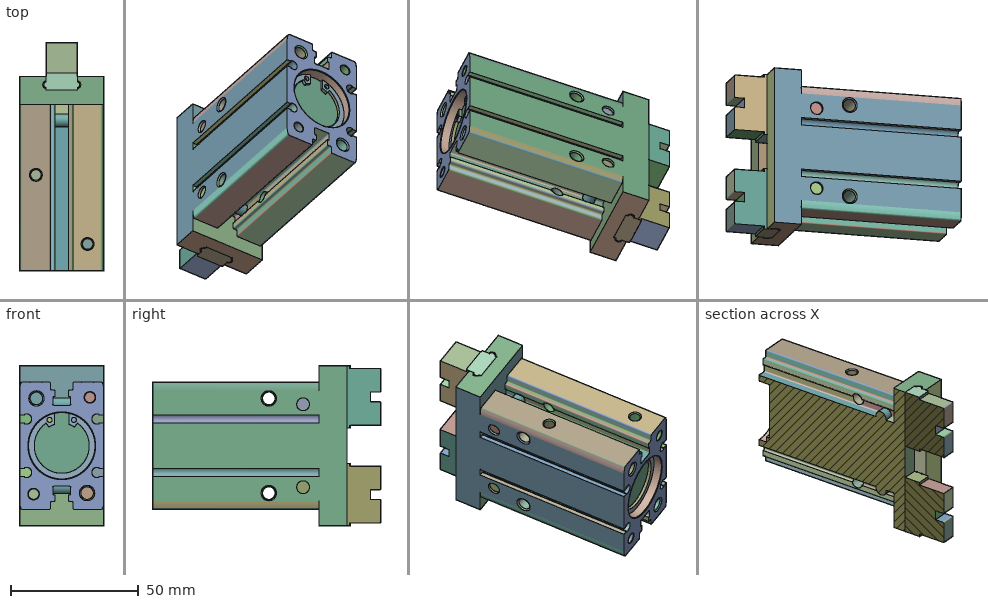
import cadquery as cq
import math

WIDTH = 33.0
FLANGE_HEIGHT = 62.6
BODY_HEIGHT = 49.8
BODY_LENGTH = 65.0
HOUSING_LENGTH = 76.0
TOTAL_LENGTH = 89.2
EDGE_RADIUS = 0.5
CORNER_RADIUS = 0.75
SIDE_CURVE_RADIUS = 8.0
SIDE_CURVE_HEIGHT = 3.25

MOUTH_WIDTH = 8.9
MOUTH_FLOOR_Z = 21.8
NECK_WIDTH = 5.2
HEAD_WIDTH = 6.9
HEAD_TOP_Z = 19.2
HEAD_FLOOR_Z = 15.8

GROOVE_Z = 10.45
GROOVE_MOUTH = 3.0
GROOVE_DIAMETER = 4.0
GROOVE_INSET = 2.75
GROOVE_LIP = 2.0

BORE_DIAMETER = 26.0
BORE_CHAMFER = 0.25
RING_DEPTH = 3.6
RING_THICKNESS = 1.25
RING_INNER_DIAMETER = 21.5
LUG_INNER_RADIUS = 8.85
LUG_ANGLE = 34.5
RING_GAP = 5.7
LUG_HOLE_DIAMETER = 2.0
LUG_HOLE_X = 4.75
LUG_HOLE_Z = 10.1

M6_CORE = 4.92
M6_COUNTERSINK = 6.0
M5_CORE = 4.13
M5_COUNTERSINK = 5.0
REAR_M6_PLACE = (-9.9, 18.5)
REAR_M6_DEPTH = 12.0
REAR_SMALL_CORE = 4.13
REAR_SMALL_COUNTERSINK = 4.5
REAR_SMALL_PLACE = (11.0, 18.9)
REAR_SMALL_DEPTH = 8.0
PORT_PLACES = [(-10.1, 37.5), (10.1, 10.5)]
PORT_DEPTH = 8.0
SIDE_HOLE_Y = 45.4
SIDE_HOLE_Z = 18.5
PIN_DIAMETER = 5.0
PIN_Y = 58.8
PIN_Z = 16.2
PIN_RECESS = 1.0

FINGER_WIDTH = 12.2
GUIDE_FLOOR_Y = 70.6
RACE_Y = 72.75
RACE_RADIUS = 1.5
RACE_INSET = 0.15
BEAD_RADIUS = 1.3
BEAD_INSET = 0.45
SLIDER_FRONT_Y = 77.4
SLIDER_HEIGHT = 24.4
SLIDER_CHAMFER = 0.4
FINGER_HEIGHT = 22.2
NOTCH_HEIGHT = 3.8
NOTCH_DEPTH = 4.0
FINGER_RADIUS = 0.4

HALF_WIDTH = WIDTH / 2
HALF_HEIGHT = BODY_HEIGHT / 2
SIGNS = (-1, 1)


def block(x_size, y_min, y_max, z_min, z_max):
    """Box centred on X = 0, given by its Y and Z limits."""
    box = cq.Workplane("XY").box(x_size, y_max - y_min, z_max - z_min, centered=(True, False, False))
    return box.translate((0, y_min, z_min))


def bar(axis, diameter, start, length):
    """Cylinder from a start point along an axis direction."""
    return cq.Workplane(cq.Solid.makeCylinder(diameter / 2, length, cq.Vector(*start), cq.Vector(*axis)))


def countersunk_hole(axis, core, countersink, start, depth):
    """Hole cutter with a 45 degree countersink at its start point."""
    cone_height = (countersink - core) / 2
    cone = cq.Solid.makeCone(countersink / 2, core / 2, cone_height, cq.Vector(*start), cq.Vector(*axis))
    return bar(axis, core, start, depth).union(cq.Workplane(cone))


def extruded_body():
    """Body cross-section with bulged upper and lower sides."""
    curve_z = HALF_HEIGHT - SIDE_CURVE_HEIGHT

    def curve_x(height):
        drop = SIDE_CURVE_RADIUS - math.sqrt(SIDE_CURVE_RADIUS**2 - height**2)
        return HALF_WIDTH - drop

    top_x = curve_x(SIDE_CURVE_HEIGHT)
    mid_height = SIDE_CURVE_HEIGHT / 2
    mid_x = curve_x(mid_height)
    mid_z = curve_z + mid_height
    outline = (
        cq.Workplane("XZ")
        .moveTo(HALF_WIDTH, -curve_z)
        .lineTo(HALF_WIDTH, curve_z)
        .threePointArc((mid_x, mid_z), (top_x, HALF_HEIGHT))
        .lineTo(-top_x, HALF_HEIGHT)
        .threePointArc((-mid_x, mid_z), (-HALF_WIDTH, curve_z))
        .lineTo(-HALF_WIDTH, -curve_z)
        .threePointArc((-mid_x, -mid_z), (-top_x, -HALF_HEIGHT))
        .lineTo(top_x, -HALF_HEIGHT)
        .threePointArc((mid_x, -mid_z), (HALF_WIDTH, -curve_z))
        .close()
    )
    body = outline.extrude(-BODY_LENGTH)
    return body.edges("|Y").edges(">Z or <Z").fillet(CORNER_RADIUS)


def t_slot():
    """Cutter for the upper T-slot."""
    mouth = block(MOUTH_WIDTH, 0, BODY_LENGTH, MOUTH_FLOOR_Z, HALF_HEIGHT)
    mouth = mouth.edges("|Y and <Z").fillet(EDGE_RADIUS)
    neck = block(NECK_WIDTH, 0, BODY_LENGTH, HEAD_FLOOR_Z + EDGE_RADIUS, HALF_HEIGHT)
    head = block(HEAD_WIDTH, 0, BODY_LENGTH, HEAD_FLOOR_Z, HEAD_TOP_Z)
    head = head.edges("|Y").fillet(EDGE_RADIUS)
    return mouth.union(neck).union(head)


def round_t_slot_edges(body):
    """Round the mouth edges and the lip edges of both T-slots."""
    for sign in SIGNS:
        for x, z in [(MOUTH_WIDTH / 2, HALF_HEIGHT), (NECK_WIDTH / 2, MOUTH_FLOOR_Z)]:
            for side in SIGNS:
                point = (side * x, BODY_LENGTH / 2, sign * z)
                body = body.edges(cq.NearestToPointSelector(point)).fillet(EDGE_RADIUS)
    return body


def sensor_groove():
    """Cutter for one keyhole-shaped groove on the +X side, above mid height."""
    centre_x = HALF_WIDTH - GROOVE_INSET
    channel = cq.Workplane("XY").box(GROOVE_INSET, BODY_LENGTH, GROOVE_MOUTH, centered=(False, False, True))
    channel = channel.translate((centre_x, 0, GROOVE_Z))
    keyway = bar((0, 1, 0), GROOVE_DIAMETER, (centre_x, 0, GROOVE_Z), BODY_LENGTH)
    lip_x = HALF_WIDTH - GROOVE_LIP
    keyway = keyway.intersect(block(2 * lip_x, 0, BODY_LENGTH, 0, HALF_HEIGHT))
    return channel.union(keyway)


def retaining_ring():
    """Internal ring with a gap at the top and a drilled lug on each side of it."""
    outer_radius = BORE_DIAMETER / 2
    start = (0, RING_DEPTH, 0)
    along = (0, 1, 0)
    ring = bar(along, BORE_DIAMETER, start, RING_THICKNESS)
    ring = ring.cut(bar(along, RING_INNER_DIAMETER, start, RING_THICKNESS))
    reach = outer_radius / math.cos(math.radians(LUG_ANGLE))
    half_span = reach * math.sin(math.radians(LUG_ANGLE))
    wedge = (
        cq.Workplane("XZ", origin=start)
        .polyline([(0, 0), (half_span, outer_radius), (-half_span, outer_radius)])
        .close()
        .extrude(-RING_THICKNESS)
    )
    lugs = wedge.intersect(bar(along, BORE_DIAMETER, start, RING_THICKNESS))
    lugs = lugs.cut(bar(along, 2 * LUG_INNER_RADIUS, start, RING_THICKNESS))
    ring = ring.union(lugs)
    ring = ring.cut(block(RING_GAP, RING_DEPTH, RING_DEPTH + RING_THICKNESS, 0, outer_radius))
    for side in SIGNS:
        hole_start = (side * LUG_HOLE_X, RING_DEPTH, LUG_HOLE_Z)
        ring = ring.cut(bar(along, LUG_HOLE_DIAMETER, hole_start, RING_THICKNESS))
    return ring


def finger_guide():
    """Cutter for the slideway: a channel with a round race in each wall beside each slider."""
    half_height = FLANGE_HEIGHT / 2
    guide = block(FINGER_WIDTH, GUIDE_FLOOR_Y, HOUSING_LENGTH, -half_height, half_height)
    for side in SIGNS:
        race_x = side * (FINGER_WIDTH / 2 - RACE_INSET)
        for sign in SIGNS:
            start = (race_x, RACE_Y, sign * half_height)
            guide = guide.union(bar((0, 0, -sign), 2 * RACE_RADIUS, start, SLIDER_HEIGHT))
    return guide


def build_housing():
    housing = extruded_body()
    upper_slot = t_slot()
    housing = housing.cut(upper_slot).cut(upper_slot.mirror("XY"))
    housing = round_t_slot_edges(housing)

    groove = sensor_groove()
    for right_groove in (groove, groove.mirror("XY")):
        housing = housing.cut(right_groove).cut(right_groove.mirror("YZ"))

    half_flange = FLANGE_HEIGHT / 2
    housing = housing.union(block(WIDTH, BODY_LENGTH, HOUSING_LENGTH, -half_flange, half_flange))
    housing = housing.cut(finger_guide())

    bore_mouth = BORE_DIAMETER + 2 * BORE_CHAMFER
    bore_depth = RING_DEPTH + RING_THICKNESS
    housing = housing.cut(countersunk_hole((0, 1, 0), BORE_DIAMETER, bore_mouth, (0, 0, 0), bore_depth))
    housing = housing.union(retaining_ring())

    for sign in SIGNS:
        x, z = REAR_M6_PLACE
        start = (sign * x, 0, sign * z)
        housing = housing.cut(countersunk_hole((0, 1, 0), M6_CORE, M6_COUNTERSINK, start, REAR_M6_DEPTH))
        x, z = REAR_SMALL_PLACE
        start = (sign * x, 0, sign * z)
        small_hole = countersunk_hole(
            (0, 1, 0), REAR_SMALL_CORE, REAR_SMALL_COUNTERSINK, start, REAR_SMALL_DEPTH
        )
        housing = housing.cut(small_hole)

    for x, y in PORT_PLACES:
        start = (x, y, HALF_HEIGHT)
        housing = housing.cut(countersunk_hole((0, 0, -1), M5_CORE, M5_COUNTERSINK, start, PORT_DEPTH))

    for sign in SIGNS:
        for side in SIGNS:
            start = (side * HALF_WIDTH, SIDE_HOLE_Y, sign * SIDE_HOLE_Z)
            axis = (-side, 0, 0)
            housing = housing.cut(countersunk_hole(axis, M6_CORE, M6_COUNTERSINK, start, HALF_WIDTH))
            start = (side * HALF_WIDTH, PIN_Y, sign * PIN_Z)
            housing = housing.cut(bar(axis, PIN_DIAMETER, start, PIN_RECESS))
        pin_start = (-HEAD_WIDTH / 2, PIN_Y, sign * PIN_Z)
        housing = housing.union(bar((1, 0, 0), PIN_DIAMETER, pin_start, HEAD_WIDTH))
    return housing


def build_finger(sign):
    """Upper finger for sign = 1, lower finger for sign = -1."""
    slider_top = FLANGE_HEIGHT / 2
    slider_bottom = slider_top - SLIDER_HEIGHT
    centre_z = slider_top - SLIDER_HEIGHT / 2
    slider = block(FINGER_WIDTH, GUIDE_FLOOR_Y, SLIDER_FRONT_Y, slider_bottom, slider_top)
    slider = slider.edges("|Z and >Y").chamfer(SLIDER_CHAMFER)
    for side in SIGNS:
        start = (side * (FINGER_WIDTH / 2 - BEAD_INSET), RACE_Y, slider_bottom)
        slider = slider.union(bar((0, 0, 1), 2 * BEAD_RADIUS, start, SLIDER_HEIGHT))

    half_finger = FINGER_HEIGHT / 2
    half_notch = NOTCH_HEIGHT / 2
    tip = block(FINGER_WIDTH, GUIDE_FLOOR_Y, TOTAL_LENGTH, centre_z - half_finger, centre_z + half_finger)
    notch_floor = TOTAL_LENGTH - NOTCH_DEPTH
    notch = block(FINGER_WIDTH, notch_floor, TOTAL_LENGTH, centre_z - half_notch, centre_z + half_notch)
    tip = tip.cut(notch)
    for z in (centre_z - half_notch, centre_z + half_notch, centre_z + half_finger):
        tip = tip.edges(cq.NearestToPointSelector((0, TOTAL_LENGTH, z))).fillet(FINGER_RADIUS)
    finger = slider.union(tip)
    return finger if sign > 0 else finger.mirror("XY")


housing = build_housing()
fingers = [build_finger(sign) for sign in SIGNS]

result = cq.Compound.makeCompound([housing.val(), *[finger.val() for finger in fingers]])